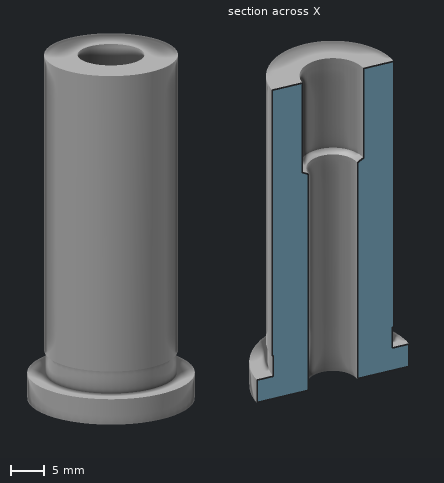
import cadquery as cq
import math

total_height = 54.0
flange_height = 4.0
neck_height = 3.5

flange_diameter = 25.0
neck_diameter = 19.6
barrel_diameter = 20.0

bore_diameter = 10.0
lower_hole_diameter = 8.0
shoulder_base = 37.8
shoulder_angle = 120.0

neck_top = flange_height + neck_height
shoulder_width = (bore_diameter - lower_hole_diameter) / 2
shoulder_height = shoulder_width / math.tan(math.radians(shoulder_angle / 2))


def cylinder(diameter, bottom, top):
    """Upright cylinder on the Z axis between two heights."""
    return cq.Workplane("XY").workplane(offset=bottom).circle(diameter / 2).extrude(top - bottom)


def stepped_bore():
    """Through bore with a conical shoulder, revolved about the Z axis."""
    profile = [
        (0, 0),
        (lower_hole_diameter / 2, 0),
        (lower_hole_diameter / 2, shoulder_base),
        (bore_diameter / 2, shoulder_base + shoulder_height),
        (bore_diameter / 2, total_height),
        (0, total_height),
    ]
    return cq.Workplane("XZ").polyline(profile).close().revolve(360, (0, 0, 0), (0, 1, 0))


flange = cylinder(flange_diameter, 0, flange_height)
neck = cylinder(neck_diameter, flange_height, neck_top)
barrel = cylinder(barrel_diameter, neck_top, total_height)

result = flange.union(neck).union(barrel).cut(stepped_bore())